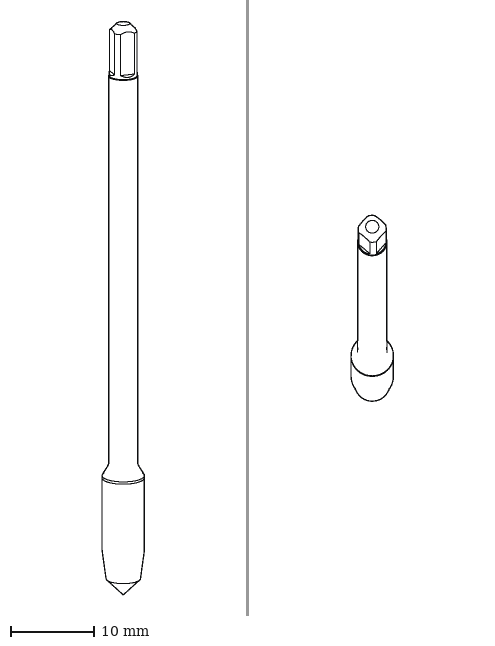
import cadquery as cq
import math

total_length = 71.8

shank_diameter = 3.5
shank_shoulder_z = 65.2
drive_corner_diameter = 3.4
drive_width = 2.9
drive_flat_bottom_z = 65.8
drive_tip_diameter = 1.6

shoulder_bottom_z = 15.0
shoulder_angle = 30.0
shoulder_round = 0.7

head_diameter = 5.1
head_top_z = 14.7
taper_top_z = 5.6
point_diameter = 4.2

shank_radius = shank_diameter / 2
corner_radius = drive_corner_diameter / 2
tip_radius = drive_tip_diameter / 2
head_radius = head_diameter / 2
point_radius = point_diameter / 2
point_height = point_radius


def make_drive_cutter():
    """Ring around the square drive, with 45 degree ramps at its base."""
    ramp_height = shank_radius - drive_width / 2
    flats_height = total_length - drive_flat_bottom_z
    ramp_bottom_z = drive_flat_bottom_z - ramp_height
    ring = (
        cq.Workplane("XY")
        .workplane(offset=ramp_bottom_z)
        .circle(shank_diameter)
        .extrude(flats_height + ramp_height)
    )
    ramps = (
        cq.Workplane("XY")
        .workplane(offset=ramp_bottom_z)
        .rect(shank_diameter, shank_diameter)
        .workplane(offset=ramp_height)
        .rect(drive_width, drive_width)
        .loft(ruled=True)
    )
    square = (
        cq.Workplane("XY")
        .workplane(offset=drive_flat_bottom_z)
        .rect(drive_width, drive_width)
        .extrude(flats_height)
    )
    return ring.cut(ramps).cut(square)


def make_shank():
    """Rod with a flared shoulder below and a square drive with a conical end above."""
    angle = math.radians(shoulder_angle)
    slope_top_z = shoulder_bottom_z + (head_radius - shank_radius) / math.tan(angle)

    round_top_z = slope_top_z + shoulder_round * math.tan(angle / 2)
    round_height = shoulder_round * math.sin(angle)
    round_width = shoulder_round * (1 - math.cos(angle))
    half_height = shoulder_round * math.sin(angle / 2)
    half_width = shoulder_round * (1 - math.cos(angle / 2))

    step_top_z = shank_shoulder_z + shank_radius - corner_radius
    end_cone_z = total_length - (corner_radius - tip_radius)

    profile = (
        cq.Workplane("XZ")
        .moveTo(0, head_top_z)
        .lineTo(head_radius, head_top_z)
        .lineTo(head_radius, shoulder_bottom_z)
        .lineTo(shank_radius + round_width, round_top_z - round_height)
        .threePointArc(
            (shank_radius + half_width, round_top_z - half_height),
            (shank_radius, round_top_z),
        )
        .lineTo(shank_radius, shank_shoulder_z)
        .lineTo(corner_radius, step_top_z)
        .lineTo(corner_radius, end_cone_z)
        .lineTo(tip_radius, total_length)
        .lineTo(0, total_length)
        .close()
    )
    rod = profile.revolve(360, (0, 0), (0, 1))
    return rod.cut(make_drive_cutter())


def make_head():
    """Pointed head, flat on top where the shank flange rests."""
    profile = [
        (0, 0),
        (point_radius, point_height),
        (head_radius, taper_top_z),
        (head_radius, head_top_z),
        (0, head_top_z),
    ]
    return cq.Workplane("XZ").polyline(profile).close().revolve(360, (0, 0), (0, 1))


shank = make_shank()
head = make_head()
result = cq.Compound.makeCompound([shank.val(), head.val()])